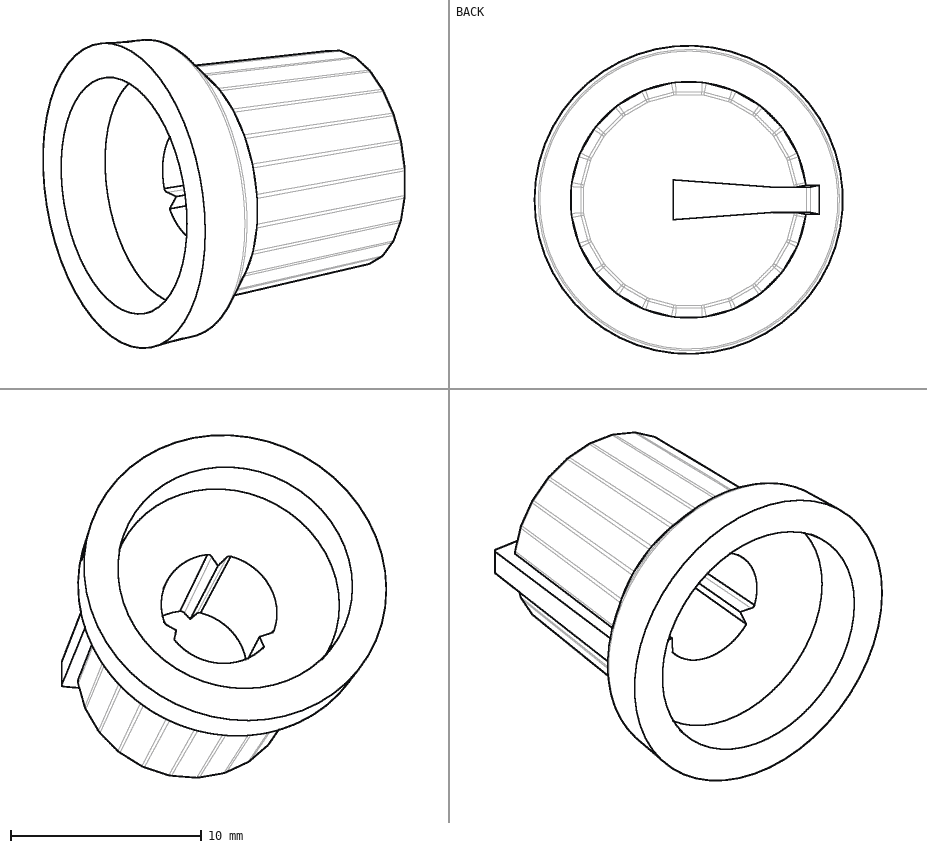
import cadquery as cq
import math


MOUTH_RADIUS = 8.1
SHOULDER_RADIUS = 7.9
SHOULDER_Y = 2.66
SHOULDER_FILLET = 0.3

GRIP_START_Y = 4.4
GRIP_END_Y = 13.9
GRIP_START_RADIUS = 6.2
GRIP_END_RADIUS = 5.71
FLAT_COUNT = 24
FLAT_START_DISTANCE = 6.16
FLAT_END_DISTANCE = 5.67
GRIP_END_FILLET = 0.15

OVERALL_LENGTH = 14.9
POINTER_TIP_Y = 14.75
POINTER_TIP_X = -6.37
POINTER_TIP_FILLET = 0.2
RAIL_START_Y = 3.0
RAIL_START_X = -6.9
RAIL_INNER_X = -5.0
RAIL_START_WIDTH = 1.55
RAIL_END_WIDTH = 1.32
BAR_ROOT_Y = 13.5
BAR_END_X = 0.8
BAR_FLARE_X = -4.43
BAR_END_WIDTH = 2.09

RECESS_MOUTH_RADIUS = 6.28
RECESS_END_RADIUS = 6.1
RECESS_DEPTH = 2.6
FUNNEL_END_Y = 4.3
BORE_START_RADIUS = 3.1
BORE_END_RADIUS = 3.02
BORE_END_Y = 12.0

TOP_KEY_ANGLE = 90
LEFT_KEY_ANGLE = 210
RIGHT_KEY_ANGLE = 330
KEY_ANGLES = (TOP_KEY_ANGLE, LEFT_KEY_ANGLE, RIGHT_KEY_ANGLE)
KEY_TIP_RADIUS = 2.57
KEY_DEPTH = 1.0
KEY_HALF_ANGLE = 45
KEY_ROOT_SPREAD = 8.6
ROUNDED_ROOT_ANGLES = (
    TOP_KEY_ANGLE - KEY_ROOT_SPREAD,
    TOP_KEY_ANGLE + KEY_ROOT_SPREAD,
    LEFT_KEY_ANGLE - KEY_ROOT_SPREAD,
    RIGHT_KEY_ANGLE + KEY_ROOT_SPREAD,
)
KEY_ROOT_FILLET = 0.25


def turned(points):
    """Revolve an outline of (radius, y) points, closed along the axis, about the Y axis."""
    return cq.Workplane("XY").polyline(points).close().revolve(360, (0, 0, 0), (0, 1, 0))


def make_flange():
    flange = turned([
        (0, 0),
        (MOUTH_RADIUS, 0),
        (SHOULDER_RADIUS, SHOULDER_Y),
        (GRIP_START_RADIUS, GRIP_START_Y),
        (0, GRIP_START_Y),
    ])
    shoulder = cq.selectors.RadiusNthSelector(1)
    return flange.edges("%CIRCLE").edges(shoulder).fillet(SHOULDER_FILLET)


def make_grip():
    cone = turned([
        (0, GRIP_START_Y),
        (GRIP_START_RADIUS, GRIP_START_Y),
        (GRIP_END_RADIUS, GRIP_END_Y),
        (0, GRIP_END_Y),
    ])
    flats = (
        cq.Workplane("XZ", origin=(0, GRIP_START_Y, 0))
        .polygon(FLAT_COUNT, 2 * FLAT_START_DISTANCE, circumscribed=True)
        .workplane(offset=GRIP_START_Y - GRIP_END_Y)
        .polygon(FLAT_COUNT, 2 * FLAT_END_DISTANCE, circumscribed=True)
        .loft(ruled=True)
    )
    cone = cone.faces(">Y").edges().fillet(GRIP_END_FILLET)
    flats = flats.faces(">Y").edges().fillet(GRIP_END_FILLET)
    return cone.intersect(flats)


def make_pointer():
    outline = (
        cq.Workplane("XY")
        .moveTo(RAIL_START_X, RAIL_START_Y)
        .lineTo(POINTER_TIP_X, POINTER_TIP_Y)
        .lineTo(BAR_END_X, OVERALL_LENGTH)
        .lineTo(BAR_END_X, BAR_ROOT_Y)
        .lineTo(RAIL_INNER_X, BAR_ROOT_Y)
        .lineTo(RAIL_INNER_X, RAIL_START_Y)
        .close()
        .extrude(BAR_END_WIDTH / 2, both=True)
    )
    tip = cq.selectors.NearestToPointSelector((POINTER_TIP_X, POINTER_TIP_Y, 0))
    outline = outline.edges(tip).fillet(POINTER_TIP_FILLET)

    rail_width = (
        cq.Workplane("YZ", origin=(RAIL_START_X, 0, 0))
        .moveTo(RAIL_START_Y, -RAIL_START_WIDTH / 2)
        .lineTo(OVERALL_LENGTH, -RAIL_END_WIDTH / 2)
        .lineTo(OVERALL_LENGTH, RAIL_END_WIDTH / 2)
        .lineTo(RAIL_START_Y, RAIL_START_WIDTH / 2)
        .close()
        .extrude(BAR_FLARE_X - RAIL_START_X)
    )
    bar_width = (
        cq.Workplane("XZ", origin=(0, OVERALL_LENGTH, 0))
        .moveTo(BAR_FLARE_X, -RAIL_END_WIDTH / 2)
        .lineTo(BAR_END_X, -BAR_END_WIDTH / 2)
        .lineTo(BAR_END_X, BAR_END_WIDTH / 2)
        .lineTo(BAR_FLARE_X, RAIL_END_WIDTH / 2)
        .close()
        .extrude(OVERALL_LENGTH - BAR_ROOT_Y)
    )
    return outline.intersect(rail_width.union(bar_width))


def make_key(angle):
    """Triangular bar along the bore wall, its edge pointing at the axis."""
    half_width = KEY_DEPTH * math.tan(math.radians(KEY_HALF_ANGLE))
    root_radius = KEY_TIP_RADIUS + KEY_DEPTH
    return (
        cq.Workplane("XZ")
        .moveTo(KEY_TIP_RADIUS, 0)
        .lineTo(root_radius, half_width)
        .lineTo(root_radius, -half_width)
        .close()
        .extrude(-BORE_END_Y)
        .rotate((0, 0, 0), (0, 1, 0), -angle)
    )


def make_bore():
    bore = turned([
        (0, FUNNEL_END_Y),
        (BORE_START_RADIUS, FUNNEL_END_Y),
        (BORE_END_RADIUS, BORE_END_Y),
        (0, BORE_END_Y),
    ])
    for angle in KEY_ANGLES:
        bore = bore.cut(make_key(angle))
    mean_radius = (BORE_START_RADIUS + BORE_END_RADIUS) / 2
    middle_y = (FUNNEL_END_Y + BORE_END_Y) / 2
    for angle in ROUNDED_ROOT_ANGLES:
        x = mean_radius * math.cos(math.radians(angle))
        z = mean_radius * math.sin(math.radians(angle))
        root = cq.selectors.NearestToPointSelector((x, middle_y, z))
        bore = bore.edges(root).fillet(KEY_ROOT_FILLET)
    return bore


def make_hollow():
    funnel_slope = (FUNNEL_END_Y - RECESS_DEPTH) / (RECESS_END_RADIUS - BORE_START_RADIUS)
    key_end_y = FUNNEL_END_Y + funnel_slope * (BORE_START_RADIUS - KEY_TIP_RADIUS)
    funnel = turned([
        (0, 0),
        (RECESS_MOUTH_RADIUS, 0),
        (RECESS_END_RADIUS, RECESS_DEPTH),
        (KEY_TIP_RADIUS, key_end_y),
        (0, key_end_y),
    ])
    return funnel.union(make_bore())


result = make_flange().union(make_grip()).union(make_pointer()).cut(make_hollow())